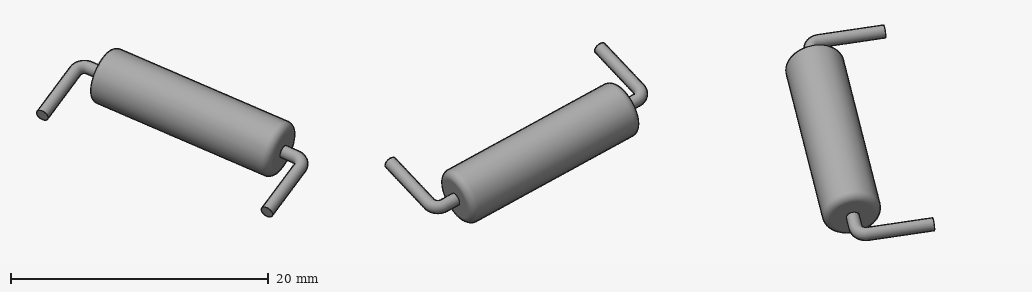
import cadquery as cq

overall_length = 21.05
body_length = 16.13
body_diameter = 4.6
body_edge_radius = 0.61
lead_diameter = 1.03
bend_radius = 0.8
lead_reach = 6.0

body_radius = body_diameter / 2
lead_radius = lead_diameter / 2
leg_x = overall_length / 2 - lead_radius
bend_start_x = leg_x - bend_radius


def make_body():
    """Cylinder along X with rounded end edges."""
    return (
        cq.Workplane("YZ", origin=(-body_length / 2, 0, 0))
        .circle(body_radius)
        .extrude(body_length)
        .edges("%CIRCLE")
        .fillet(body_edge_radius)
    )


def make_lead():
    """Right-hand wire: out along X, a quarter bend, then down along -Y."""
    stub = cq.Workplane("YZ").circle(lead_radius).extrude(bend_start_x)
    bend = (
        cq.Workplane("YZ", origin=(bend_start_x, 0, 0))
        .circle(lead_radius)
        .revolve(90, (-bend_radius, 0.21, 0), (-bend_radius, 0, 0))
    )
    leg = (
        cq.Workplane("XZ", origin=(leg_x, -bend_radius, 0))
        .circle(lead_radius)
        .extrude(lead_reach - bend_radius)
    )
    return stub.union(bend).union(leg)


right_lead = make_lead()
left_lead = right_lead.mirror("YZ")
result = make_body().union(right_lead).union(left_lead)